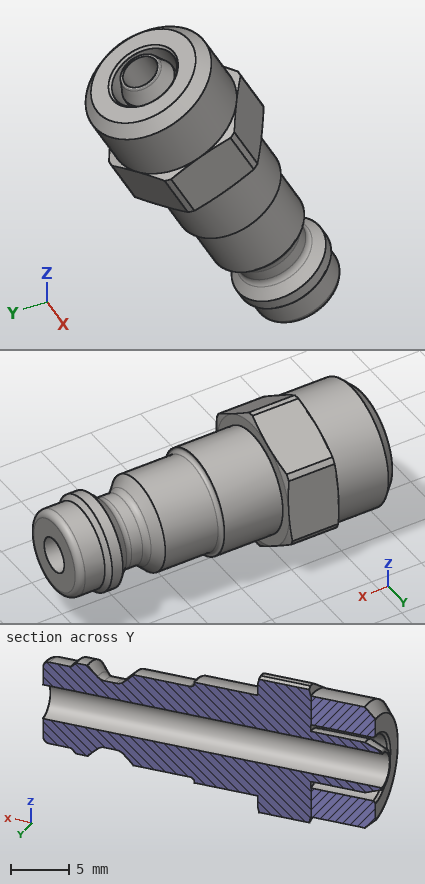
import cadquery as cq
import math

total_length = 31.5

nut_front_x = 0.6
nut_dia = 12.0
nut_face_dia = 10.0
nut_bore_dia = 6.2
nut_bore_chamfer = 0.22

hex_start_x = 6.6
hex_end_x = 11.6
hex_across_flats = 12.0
hex_corner_dia = 13.5
hex_chamfer_depth = 0.2
hex_tilt = 5.5

bore_dia = 3.3
stem_dia = 5.0
stem_tip_dia = 3.87
stem_tip_round = 0.1
stem_cone_length = 1.58

collar_dia = 10.0
collar_end_x = 17.45
collar_fillet = 0.38
barrel_dia = 9.0
barrel_end_x = 23.1
groove_dia = 6.65
groove_fillet = 0.95
flange_start_x = 27.35
flange_end_x = 28.4
nose_dia = 8.1
nose_round = 0.63


def revolve_about_x(profile):
    """Turn a closed profile of (x, radius) points about the X axis."""
    return profile.close().revolve(360, (0, 0, 0), (1, 0, 0))


def x_cylinder(diameter, start_x, end_x):
    return cq.Workplane("YZ", origin=(start_x, 0, 0)).circle(diameter / 2).extrude(end_x - start_x)


def make_nut():
    """Round nut with a 45 degree front chamfer and a through bore for the hose."""
    front_chamfer = (nut_dia - nut_face_dia) / 2
    nut = x_cylinder(nut_dia, nut_front_x, hex_start_x).faces("<X").chamfer(front_chamfer)
    nut = nut.cut(x_cylinder(nut_bore_dia, nut_front_x, hex_start_x))
    return nut.faces("<X").edges(cq.selectors.RadiusNthSelector(0)).chamfer(nut_bore_chamfer)


def make_stem():
    """Tapered hose stem, ending at the hexagon's front face."""
    tip_radius = stem_tip_dia / 2
    stem_radius = stem_dia / 2
    round_rest = stem_tip_round * (1 - math.sqrt(0.5))
    profile = (
        cq.Workplane("XY")
        .lineTo(0, tip_radius - stem_tip_round)
        .threePointArc((round_rest, tip_radius - round_rest), (stem_tip_round, tip_radius))
        .lineTo(stem_cone_length, stem_radius)
        .lineTo(hex_start_x, stem_radius)
        .lineTo(hex_start_x, 0)
    )
    return revolve_about_x(profile)


def make_hexagon():
    """Hexagon with its corners turned down and both ends chamfered by a cone."""
    corner_to_corner = hex_across_flats / math.cos(math.radians(30))
    prism = (
        cq.Workplane("YZ", origin=(hex_start_x, 0, 0))
        .transformed(rotate=(0, 0, 90 + hex_tilt))
        .polygon(6, corner_to_corner)
        .extrude(hex_end_x - hex_start_x)
    )
    corner_radius = hex_corner_dia / 2
    end_radius = hex_across_flats / 2
    envelope = (
        cq.Workplane("XY")
        .moveTo(hex_start_x, 0)
        .lineTo(hex_start_x, end_radius)
        .lineTo(hex_start_x + hex_chamfer_depth, corner_radius)
        .lineTo(hex_end_x - hex_chamfer_depth, corner_radius)
        .lineTo(hex_end_x, end_radius)
        .lineTo(hex_end_x, 0)
    )
    return prism.intersect(revolve_about_x(envelope))


def make_plug():
    """Stepped plug with a locking groove between 45 degree flanks."""
    collar_radius = collar_dia / 2
    barrel_radius = barrel_dia / 2
    groove_radius = groove_dia / 2
    nose_radius = nose_dia / 2

    flank_depth = barrel_radius - groove_radius
    half_angle = math.radians(45 / 2)
    floor_setback = groove_fillet * math.tan(half_angle)
    flank_setback = floor_setback * math.sqrt(0.5)
    mid_along = groove_fillet * math.sin(half_angle)
    mid_rise = groove_fillet * (1 - math.cos(half_angle))
    floor_start_x = barrel_end_x + flank_depth + floor_setback
    floor_end_x = flange_start_x - flank_depth - floor_setback
    tangent_radius = groove_radius + flank_setback
    tangent_run = floor_setback + flank_setback

    collar_rest = collar_fillet * (1 - math.sqrt(0.5))
    nose_rest = nose_round * (1 - math.sqrt(0.5))
    profile = (
        cq.Workplane("XY")
        .moveTo(hex_end_x, 0)
        .lineTo(hex_end_x, collar_radius)
        .lineTo(collar_end_x, collar_radius)
        .lineTo(collar_end_x, barrel_radius + collar_fillet)
        .threePointArc(
            (collar_end_x + collar_rest, barrel_radius + collar_rest),
            (collar_end_x + collar_fillet, barrel_radius),
        )
        .lineTo(barrel_end_x, barrel_radius)
        .lineTo(floor_start_x - tangent_run, tangent_radius)
        .threePointArc((floor_start_x - mid_along, groove_radius + mid_rise), (floor_start_x, groove_radius))
        .lineTo(floor_end_x, groove_radius)
        .threePointArc((floor_end_x + mid_along, groove_radius + mid_rise),
                       (floor_end_x + tangent_run, tangent_radius))
        .lineTo(flange_start_x, barrel_radius)
        .lineTo(flange_end_x, barrel_radius)
        .lineTo(flange_end_x + barrel_radius - nose_radius, nose_radius)
        .lineTo(total_length - nose_round, nose_radius)
        .threePointArc((total_length - nose_rest, nose_radius - nose_rest),
                       (total_length, nose_radius - nose_round))
        .lineTo(total_length, 0)
    )
    return revolve_about_x(profile)


def make_fitting():
    """Stem, hexagon and plug in one piece, bored through."""
    fitting = make_hexagon().union(make_stem()).union(make_plug())
    return fitting.cut(x_cylinder(bore_dia, 0, total_length))


nut = make_nut()
fitting = make_fitting()

result = cq.Compound.makeCompound([nut.solids().val(), fitting.solids().val()])